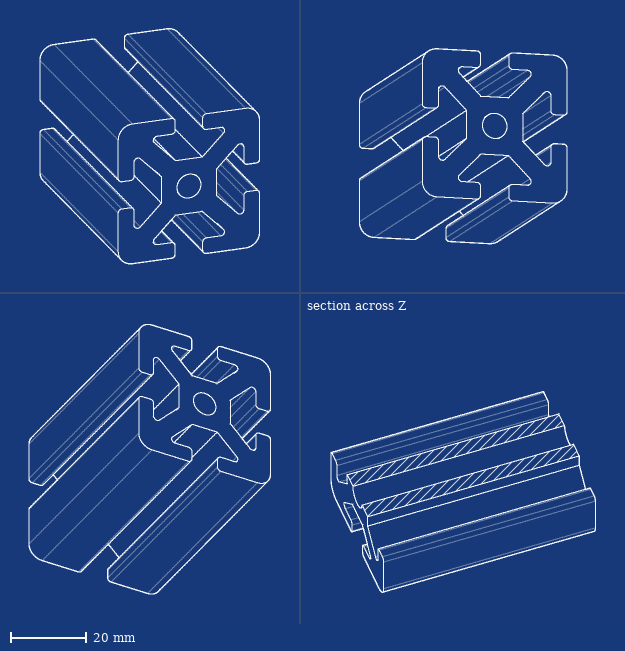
import cadquery as cq

length = 60.0
width = 40.0
corner_radius = 4.0
bore_diameter = 6.8

slot_width = 7.8
lip_thickness = 4.5
lip_radius = 1.0
floor_height = 7.8
floor_width = 7.55
pocket_radius = 1.0

half_length = length / 2
half_width = width / 2
half_slot = slot_width / 2
half_floor = floor_width / 2
lip_height = half_width - lip_thickness
half_pocket = half_floor + lip_height - floor_height


def make_bar():
    """Square bar with rounded long edges."""
    bar = cq.Workplane("YZ").rect(width, width).extrude(half_length, both=True)
    return bar.edges("|X").fillet(corner_radius)


def make_slot():
    """Solid filling the slot on the +Z side."""
    right_side = [
        (half_floor, floor_height),
        (half_pocket, lip_height),
        (half_slot, lip_height),
        (half_slot, half_width),
    ]
    left_side = [(-y, z) for y, z in reversed(right_side)]
    outline = cq.Workplane("YZ").polyline(right_side + left_side).close()
    return outline.extrude(half_length, both=True)


def edges_at(side, height):
    """Selector for the lengthwise edges at (+side, height) and (-side, height)."""
    tolerance = 0.05
    boxes = [
        cq.selectors.BoxSelector(
            (-half_length, y - tolerance, height - tolerance),
            (half_length, y + tolerance, height + tolerance),
        )
        for y in (-side, side)
    ]
    return boxes[0] + boxes[1]


def round_slot(body):
    """Round the lip and pocket corners of the slot on the +Z side."""
    body = body.edges(edges_at(half_slot, half_width)).fillet(lip_radius)
    body = body.edges(edges_at(half_slot, lip_height)).fillet(lip_radius)
    return body.edges(edges_at(half_pocket, lip_height)).fillet(pocket_radius)


result = make_bar()
for _ in range(4):
    result = round_slot(result.cut(make_slot()))
    result = result.rotate((0, 0, 0), (1, 0, 0), 90)

bore = cq.Workplane("YZ").circle(bore_diameter / 2).extrude(half_length, both=True)
result = result.cut(bore)